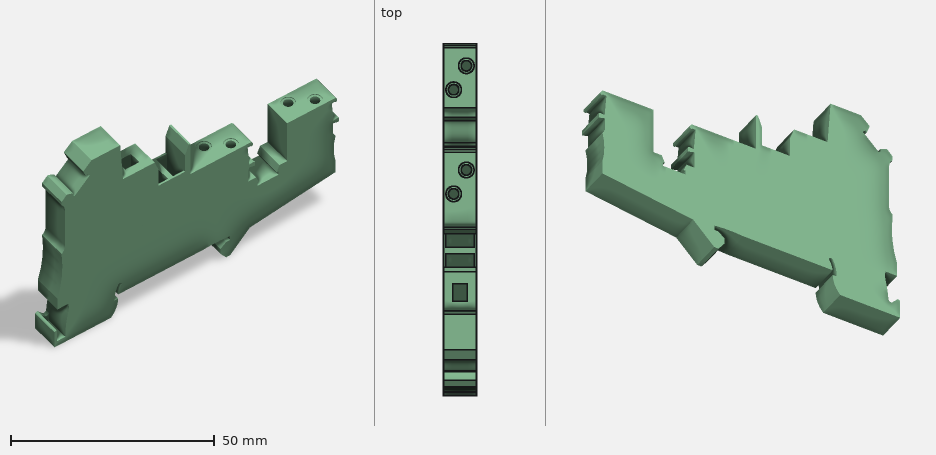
import cadquery as cq


length = 86.45
height = 59.4
thickness = 8.1

deck_top = 36.1
shoulder_top = 46.85
rail_seat = 6.9
foot_lip = 5.45
hook_top = 5.6
hook_outer_top = 5.3
outer_end_bottom = 9.85

deck_pitch = 25.6
outer_end = 85.4
outer_deck_wall = 70.7
inner_deck_wall = 59.0
fin_wall = 41.3
tower_wall_bottom = 20.8
tower_wall_top = 20.0
tower_face = 3.2
bulge_face = 2.2
skirt_face = 0.9
recess_wall = 4.2
hook_lip = 0.7
trough_wall = 3.3

web_thickness = 1.2
web_end_top = 4.2
trough_floor = 1.7

notch_center = 64.8
notch_ledge = 22.7
notch_lip = 20.7
notch_floor = 19.5
notch_mouth_half = 3.55
notch_throat_half = 2.7
notch_floor_half = 3.2

slot_center = 35.6
slot_floor = 37.95
slot_flare_start = 43.8
slot_half = 4.1
slot_mouth_half = 5.2

pocket_width = 7.1
pocket_length = 3.3
pocket_depth = 8.65
window_width = 3.5
window_length = 4.2
window_center = 25.3
window_depth = 8.65
screw_hole_diameter = 2.6
screw_hole_depth = 8.65
screw_rim_diameter = 3.8
screw_rim_depth = 0.3
screw_offset = 1.55
screw_stations = [(screw_offset, 81.0), (-screw_offset, 75.1)]


def deck_end(shift):
    """Hook, sloping wall and catch on the end of a terminal deck, from the top down."""
    points = [
        (85.4, deck_top), (85.9, 35.45), (85.9, 34.75), (85.4, 34.6), (85.3, 34.8), (84.3, 34.8),
        (84.8, 28.5), (85.9, 28.7), (length, 28.5), (length, 27.15), (85.9, 27.2), (84.6, 27.6),
    ]
    return [(y - shift, z) for y, z in points]


def symmetric_dip(center, half_profile):
    """Points across a symmetric recess; the half profile runs down to its floor."""
    upper_y_side = [(center + half, z) for half, z in half_profile]
    lower_y_side = [(center - half, z) for half, z in reversed(half_profile)]
    return upper_y_side + lower_y_side


def plate():
    """Full-thickness body with the complete outline."""
    notch = symmetric_dip(notch_center, [
        (notch_mouth_half, notch_ledge), (notch_throat_half, notch_lip),
        (notch_floor_half, notch_lip), (notch_floor_half, notch_floor),
    ])
    jumper_slot = symmetric_dip(slot_center, [
        (slot_mouth_half, shoulder_top), (slot_half, slot_flare_start), (slot_half, slot_floor),
    ])

    top_edge = [
        (outer_deck_wall, deck_top), (outer_deck_wall, notch_ledge), *notch,
        (inner_deck_wall, notch_ledge), *reversed(deck_end(deck_pitch)),
        (fin_wall, deck_top), (fin_wall, shoulder_top), *jumper_slot,
    ]
    tower = [
        (tower_wall_bottom, shoulder_top), (tower_wall_top, height), (11.2, height), (8.7, 57.0),
        (9.6, 54.6), (9.9, 55.15), (10.7, 54.4), (6.1, 49.9), (5.5, 50.5), (5.8, 50.9),
    ]
    snap_foot = [
        (53.3, foot_lip), (52.2, foot_lip), (50.4, 4.0), (50.4, 2.3), (52.1, 0), (53.3, 0),
        (59.4, 6.1), (outer_end, outer_end_bottom),
    ]

    outline = (
        cq.Workplane("YZ", origin=(-thickness / 2, 0, 0))
        .moveTo(outer_end, deck_top)
        .polyline(top_edge + tower, includeCurrent=True)
        .threePointArc((4.8, 51.4), (3.7, 51.8))
        .lineTo(bulge_face, 50.1)
        .lineTo(bulge_face, 48.9)
        .lineTo(2.6, 48.5)
        .threePointArc((3.0, 47.5), (tower_face, 46.2))
        .lineTo(tower_face, 34.15)
        .threePointArc((2.9, 32.8), (bulge_face, 31.7))
        .lineTo(bulge_face, 31.1)
        .threePointArc((2.25, 23.9), (skirt_face, 16.7))
        .lineTo(skirt_face, 12.9)
        .lineTo(recess_wall, 12.9)
        .threePointArc((4.3, 11.15), (4.1, 9.5))
        .threePointArc((3.5, 5.6), (trough_wall, trough_floor))
        .lineTo(hook_lip, trough_floor)
        .lineTo(hook_lip, hook_top)
        .threePointArc((0.35, 5.5), (0, hook_outer_top))
        .lineTo(0, 0)
        .lineTo(17.2, 0)
        .threePointArc((18.8, 2.5), (19.4, foot_lip))
        .lineTo(18.2, foot_lip)
        .threePointArc((18.5, 8.0), (19.3, 10.2))
        .threePointArc((20.05, 10.55), (20.3, 9.8))
        .threePointArc((19.7, 8.4), (19.4, rail_seat))
        .lineTo(44.95, rail_seat)
        .threePointArc((49.3, 7.1), (53.3, 6.8))
        .polyline(snap_foot, includeCurrent=True)
        .lineTo(outer_end, 13.8)
        .threePointArc((84.9, 18.2), (outer_end, 22.7))
        .lineTo(84.6, 24.0)
        .polyline(list(reversed(deck_end(0))), includeCurrent=True)
        .close()
    )
    return outline.extrude(thickness)


def top_opening(center_y, top_z, width, opening_length, depth):
    """Rectangular cutter reaching down from a top face, centred across the thickness."""
    return (
        cq.Workplane("XY", origin=(0, center_y, top_z))
        .rect(width, opening_length)
        .extrude(-depth)
    )


def screw_holes(shift):
    """Cutter for the pair of staggered screw holes with shallow rims in one deck."""
    deck = cq.Workplane("XY", origin=(0, -shift, deck_top)).pushPoints(screw_stations)
    rims = deck.circle(screw_rim_diameter / 2).extrude(-screw_rim_depth)
    bores = deck.circle(screw_hole_diameter / 2).extrude(-screw_hole_depth)
    return rims.union(bores)


def hook_web():
    """Web joining the hook to the recess wall, with a rounded valley along its top."""
    return (
        cq.Workplane("YZ", origin=(-thickness / 2, 0, 0))
        .moveTo(hook_lip, trough_floor)
        .lineTo(hook_lip, hook_top)
        .lineTo(2.2, 4.1)
        .threePointArc((2.8, 3.8), (trough_wall, web_end_top))
        .lineTo(recess_wall, web_end_top)
        .lineTo(recess_wall, trough_floor)
        .close()
        .extrude(web_thickness)
    )


result = plate().union(hook_web())

for deck_shift in (0, deck_pitch):
    result = result.cut(screw_holes(deck_shift))

pocket_offset = slot_half - pocket_length / 2
for side in (-1, 1):
    pocket_center = slot_center + side * pocket_offset
    pocket = top_opening(pocket_center, slot_floor, pocket_width, pocket_length, pocket_depth)
    result = result.cut(pocket)

window = top_opening(window_center, shoulder_top, window_width, window_length, window_depth)
result = result.cut(window)